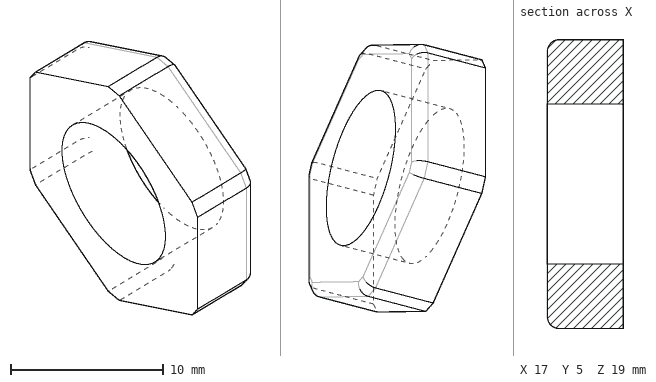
import cadquery as cq

ACROSS_FLATS = 17.0
THICKNESS = 5.0
BORE_DIAMETER = 10.5
CORNER_CHAMFER = 0.65
BACK_FILLET = 0.8

HEX_SIDES = 6


def hexagonal_block():
    """Hexagonal prism along +Y with two sides facing +X and -X."""
    return (
        cq.Workplane("XZ")
        .polygon(HEX_SIDES, ACROSS_FLATS, circumscribed=True)
        .extrude(-THICKNESS)
    )


def chamfer_corners(block):
    """Cut each of the six long corner edges to a narrow flat."""
    return block.edges("|Y").chamfer(CORNER_CHAMFER)


def round_back_rim(block):
    """Round the whole outer edge of the +Y face."""
    return block.faces(">Y").edges().fillet(BACK_FILLET)


def bore():
    """Cylinder that opens the centre hole through the full thickness."""
    return cq.Workplane("XZ").circle(BORE_DIAMETER / 2).extrude(-THICKNESS)


result = round_back_rim(chamfer_corners(hexagonal_block())).cut(bore())